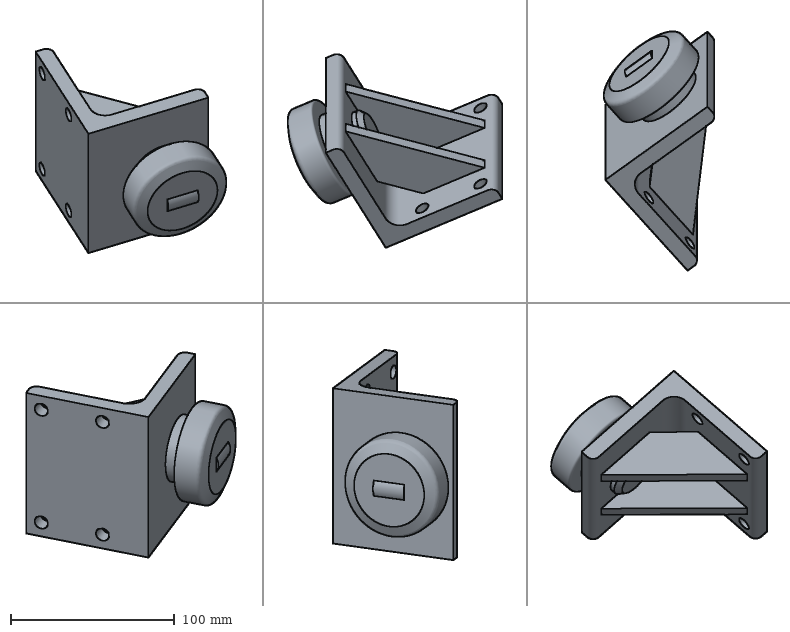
import cadquery as cq

overall_x = 110.5

flange = 80.0
height = 100.0
plate = 10.0
inner_radius = 10.0
edge_radius = 5.0

mount_hole_diameter = 8.5
mount_hole_inset = 10.0
mount_hole_spacing = 40.0

rib_thickness = 8.0
rib_gap = 34.0
rib_edge_inset = 7.1
rib_inner_leg = 20.9

axis_y = 50.0
axis_z = height / 2
spigot_radius = 15.0
spigot_chamfer = 3.4
spigot_projection = 6.6
neck_radius = 21.0
neck_length = 9.2
head_radius = 31.3
head_back_round = 1.4
head_rim_length = 16.6
head_rim_round = 2.9
head_face_radius = 23.3

pad_projection = 1.4
pad_chord = 10.0
pad_length = 20.3

inner_face_x = flange - plate
head_back_x = flange + neck_length
head_face_x = overall_x - pad_projection


def make_angle():
    """L-shaped section with a filleted inside corner and rounded flange tips."""
    angle = (
        cq.Workplane("XY")
        .moveTo(0, 0)
        .lineTo(flange, 0)
        .lineTo(flange, flange)
        .lineTo(inner_face_x, flange)
        .lineTo(inner_face_x, plate)
        .lineTo(0, plate)
        .close()
        .extrude(height)
    )
    inside_corner = cq.NearestToPointSelector((inner_face_x, plate, height / 2))
    angle = angle.edges(inside_corner).fillet(inner_radius)
    for tip in ((0, plate), (inner_face_x, flange)):
        angle = angle.edges(cq.NearestToPointSelector((*tip, height / 2))).fillet(edge_radius)
    return angle


def make_rib(bottom_z):
    """Diagonal web between the inner faces of the two flanges."""
    outer_leg = inner_face_x - rib_edge_inset
    return (
        cq.Workplane("XY", origin=(0, 0, bottom_z))
        .moveTo(inner_face_x - outer_leg, plate)
        .lineTo(inner_face_x - rib_inner_leg, plate)
        .lineTo(inner_face_x, plate + rib_inner_leg)
        .lineTo(inner_face_x, plate + outer_leg)
        .close()
        .extrude(rib_thickness)
    )


def make_mount_holes():
    """Four cutters through the mounting flange."""
    places = [
        (x, z)
        for x in (mount_hole_inset, mount_hole_inset + mount_hole_spacing)
        for z in (mount_hole_inset, height - mount_hole_inset)
    ]
    return (
        cq.Workplane("XZ")
        .pushPoints(places)
        .circle(mount_hole_diameter / 2)
        .extrude(-plate)
    )


def make_bracket():
    bracket = make_angle()
    for bottom_z in (axis_z - rib_gap / 2 - rib_thickness, axis_z + rib_gap / 2):
        bracket = bracket.union(make_rib(bottom_z))
    spigot_hole = (
        cq.Workplane("YZ", origin=(inner_face_x, axis_y, axis_z))
        .circle(spigot_radius)
        .extrude(plate)
    )
    return bracket.cut(make_mount_holes()).cut(spigot_hole)


def make_spigot():
    """Chamfered plug that passes through the bracket."""
    return (
        cq.Workplane("YZ", origin=(inner_face_x - spigot_projection, axis_y, axis_z))
        .circle(spigot_radius)
        .extrude(spigot_projection + plate)
        .faces("<X")
        .chamfer(spigot_chamfer)
    )


def make_head():
    """Disc with a rounded back edge and a conical front blended into its rim."""
    rim_x = head_back_x + head_rim_length
    head = (
        cq.Workplane("XY")
        .moveTo(head_back_x, 0)
        .lineTo(head_back_x, head_radius)
        .lineTo(rim_x, head_radius)
        .lineTo(head_face_x, head_face_radius)
        .lineTo(head_face_x, 0)
        .close()
        .revolve(360, (0, 0, 0), (1, 0, 0))
        .translate((0, axis_y, axis_z))
    )
    rim_edge = cq.NearestToPointSelector((rim_x, axis_y, axis_z))
    head = head.edges(rim_edge).fillet(head_rim_round)
    return head.faces("<X").edges().fillet(head_back_round)


def make_pad():
    """Shallow cylindrical segment standing on the head face."""
    return (
        cq.Workplane("XZ", origin=(head_face_x, axis_y, axis_z))
        .moveTo(0, -pad_chord / 2)
        .threePointArc((pad_projection, 0), (0, pad_chord / 2))
        .close()
        .extrude(pad_length / 2, both=True)
    )


def make_buffer():
    neck = (
        cq.Workplane("YZ", origin=(flange, axis_y, axis_z))
        .circle(neck_radius)
        .extrude(neck_length)
    )
    return make_spigot().union(neck).union(make_head()).union(make_pad())


bracket = make_bracket()
buffer = make_buffer()

result = cq.Compound.makeCompound([bracket.val(), buffer.val()])